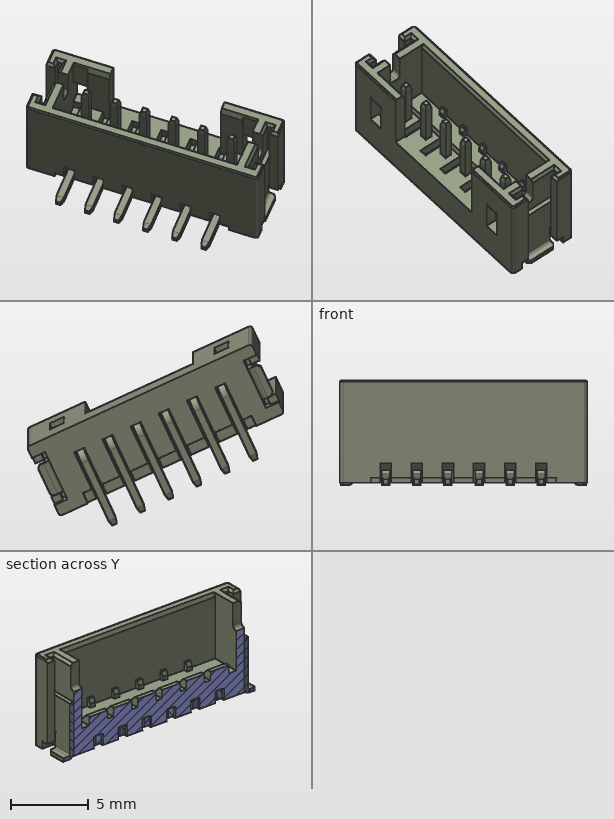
import cadquery as cq
import math


LENGTH = 15.95
DEPTH = 5.01
HEIGHT = 6.6
MID_Y = DEPTH / 2
CORNER_RADIUS = 0.2
TOP_EDGE_CHAMFER = 0.1
FRONT_WALL = 0.73
BACK_WALL = 0.78
CAVITY_LENGTH = 12.7
FLOOR_Z = 1.83
BACK_INNER_Y = DEPTH - BACK_WALL

LEAD_IN_STEEPNESS = 2.0
FRONT_LEAD_IN = 0.15
BACK_LEAD_IN = 0.19

PIN_COUNT = 6
PITCH = 2.0
PIN_WIDTH = 0.51
PIN_THICKNESS = 0.5
PIN_Y = 3.15
PIN_TOP_Z = 5.68
PIN_TIP_LENGTH = 0.4
PIN_TIP_INSET = 0.1
BEND_INNER_RADIUS = 0.4
LEAD_END_Y = -2.0
LEAD_SLOPE = 3.5
LEAD_CENTER_Z = 0.2

BLOCK_TOP_Z = 2.44
BLOCK_TOP_WIDTH = 1.48
BLOCK_TOP_FRONT_Y = 2.57
BLOCK_SIDE_DRAFT = 0.06
BLOCK_RISE = BLOCK_TOP_Z - FLOOR_Z
LEAD_SLOT_WIDTH = 0.72
LEAD_SLOT_MOUTH_Z = 1.28
LEAD_SLOT_ROOF_Z = 0.81

RIB_WIDTH = 0.41
RIB_DEPTH = 0.3
RIB_CHAMFER = 0.16

BACK_GAP_LENGTH = 7.65
WINDOW_START_X = 5.35
WINDOW_TOP_Z = 4.56
RELIEF_DEPTH = 0.11

CHANNEL_INNER_X = 7.05
CHANNEL_OUTER_X = 7.37
CHANNEL_WIDTH = 3.41
MOUTH_WIDTH = 2.4
CHANNEL_CHAMFER = 0.19
LIP_NOTCH_HEIGHT = 0.55

END_SLOT_WIDTH = 0.83
END_SLOT_Y = 2.97
END_SLOT_BOTTOM_Z = 4.7
END_SLOT_RADIUS = 0.32

UNDERCUT_LENGTH = 11.96
UNDERCUT_HEIGHT = 0.33

TAB_TOP_Z = 3.94
TAB_SHOULDER_Z = 1.26
TAB_WIDTH = 2.22
TAB_BOTTOM_Z = -0.15
TAB_BEND_INNER_RADIUS = 0.11
TAB_FOOT_X = 7.91
TAB_FOOT_THICKNESS = 0.29
TAB_CORNER_CHAMFER = 0.19


def block(x_range, y_range, z_range):
    """Box between three pairs of limits."""
    sizes = [high - low for low, high in (x_range, y_range, z_range)]
    corner = (x_range[0], y_range[0], z_range[0])
    return cq.Workplane("XY").box(*sizes, centered=False).translate(corner)


def side_prism(points, width, center_x=0.0):
    """Prism of a (y, z) outline, centred on center_x."""
    return (
        cq.Workplane("YZ").polyline(points).close()
        .extrude(width / 2, both=True).translate((center_x, 0, 0))
    )


def row_positions(count):
    """X positions of equally pitched features, centred on x = 0."""
    return [(i - (count - 1) / 2) * PITCH for i in range(count)]


def make_shell():
    """Rounded outer block with the open cavity and its lead-in slopes."""
    shell = (
        cq.Workplane("XY").box(LENGTH, DEPTH, HEIGHT, centered=(True, False, False))
        .edges("|Z").fillet(CORNER_RADIUS)
        .faces(">Z").edges().chamfer(TOP_EDGE_CHAMFER)
    )
    cavity = side_prism(
        [
            (FRONT_WALL, FLOOR_Z),
            (BACK_INNER_Y, FLOOR_Z),
            (BACK_INNER_Y, HEIGHT - LEAD_IN_STEEPNESS * BACK_LEAD_IN),
            (BACK_INNER_Y + BACK_LEAD_IN, HEIGHT),
            (FRONT_WALL - FRONT_LEAD_IN, HEIGHT),
            (FRONT_WALL, HEIGHT - LEAD_IN_STEEPNESS * FRONT_LEAD_IN),
        ],
        CAVITY_LENGTH,
    )
    return shell.cut(cavity)


def back_wall_gap():
    """Central gap in the back wall, level with the tops of the pin blocks."""
    gap_x = BACK_GAP_LENGTH / 2
    return block((-gap_x, gap_x), (BACK_INNER_Y, DEPTH), (BLOCK_TOP_Z, HEIGHT))


def back_wall_window():
    """Thinned stretch at the +X end of the back wall, with a window through its lower part."""
    end_x = (WINDOW_START_X, CAVITY_LENGTH / 2)
    relief = block(end_x, (BACK_INNER_Y, BACK_INNER_Y + RELIEF_DEPTH), (FLOOR_Z, HEIGHT))
    window = block(end_x, (BACK_INNER_Y, DEPTH), (BLOCK_TOP_Z, WINDOW_TOP_Z))
    return relief.union(window)


def front_undercut():
    """Shallow recess under the front wall."""
    half_length = UNDERCUT_LENGTH / 2
    return block((-half_length, half_length), (0, FRONT_WALL), (0, UNDERCUT_HEIGHT))


def tab_channel():
    """T-shaped channel on the +X end, chamfered at the top, with the lips notched below."""
    beyond_x = LENGTH / 2 + 2 * CHANNEL_CHAMFER

    def outline(z, widening):
        """Channel outline at height z, widened on every side."""
        half_channel = CHANNEL_WIDTH / 2 + widening
        half_mouth = MOUTH_WIDTH / 2 + widening
        inner_x = CHANNEL_INNER_X - widening
        outer_x = CHANNEL_OUTER_X + widening
        return cq.Workplane("XY").workplane(offset=z).polyline([
            (inner_x, MID_Y - half_channel),
            (outer_x, MID_Y - half_channel),
            (outer_x, MID_Y - half_mouth),
            (beyond_x, MID_Y - half_mouth),
            (beyond_x, MID_Y + half_mouth),
            (outer_x, MID_Y + half_mouth),
            (outer_x, MID_Y + half_channel),
            (inner_x, MID_Y + half_channel),
        ]).close()

    channel = outline(0, 0).extrude(HEIGHT)
    flare_start = outline(HEIGHT - CHANNEL_CHAMFER, 0).val()
    flare_end = outline(HEIGHT, CHANNEL_CHAMFER).val()
    flare = cq.Workplane(cq.Solid.makeLoft([flare_start, flare_end], True))
    notch = block(
        (CHANNEL_OUTER_X, beyond_x),
        (MID_Y - CHANNEL_WIDTH / 2, MID_Y + CHANNEL_WIDTH / 2),
        (0, LIP_NOTCH_HEIGHT),
    )
    return channel.union(flare).union(notch)


def end_slot():
    """Round-bottomed slot through the +X end wall, from the cavity to the tab channel."""
    return block(
        (CAVITY_LENGTH / 2, CHANNEL_INNER_X),
        (END_SLOT_Y - END_SLOT_WIDTH / 2, END_SLOT_Y + END_SLOT_WIDTH / 2),
        (END_SLOT_BOTTOM_Z, HEIGHT),
    ).edges("|X and <Z").fillet(END_SLOT_RADIUS)


def make_pin_block(center_x):
    """Raised seat for one contact, with drafted sides and a 45 degree front."""
    front = side_prism(
        [
            (BLOCK_TOP_FRONT_Y - BLOCK_RISE, FLOOR_Z),
            (BACK_INNER_Y + RELIEF_DEPTH, FLOOR_Z),
            (BACK_INNER_Y + RELIEF_DEPTH, BLOCK_TOP_Z),
            (BLOCK_TOP_FRONT_Y, BLOCK_TOP_Z),
        ],
        2 * BLOCK_TOP_WIDTH,
        center_x,
    )
    half_top = BLOCK_TOP_WIDTH / 2
    half_base = half_top + BLOCK_SIDE_DRAFT
    drafted_sides = (
        cq.Workplane("XZ")
        .polyline([
            (-half_base, FLOOR_Z), (half_base, FLOOR_Z),
            (half_top, BLOCK_TOP_Z), (-half_top, BLOCK_TOP_Z),
        ])
        .close().extrude(-DEPTH).translate((center_x, 0, 0))
    )
    return front.intersect(drafted_sides)


def make_rib(center_x):
    """Small rib on the inner face of the front wall, sloped at its top."""
    tip_y = FRONT_WALL + RIB_DEPTH
    return side_prism(
        [
            (FRONT_WALL, FLOOR_Z),
            (tip_y, FLOOR_Z),
            (tip_y, BLOCK_TOP_Z - LEAD_IN_STEEPNESS * RIB_CHAMFER),
            (tip_y - RIB_CHAMFER, BLOCK_TOP_Z),
            (FRONT_WALL, BLOCK_TOP_Z),
        ],
        RIB_WIDTH,
        center_x,
    )


def lead_slot(center_x):
    """Slot under the floor for one contact lead, with a 45 degree roof at its mouth."""
    slot_end_y = PIN_Y + PIN_THICKNESS / 2
    return side_prism(
        [
            (0, 0),
            (slot_end_y, 0),
            (slot_end_y, LEAD_SLOT_ROOF_Z),
            (LEAD_SLOT_MOUTH_Z - LEAD_SLOT_ROOF_Z, LEAD_SLOT_ROOF_Z),
            (0, LEAD_SLOT_MOUTH_Z),
        ],
        LEAD_SLOT_WIDTH,
        center_x,
    )


def make_tip(plane):
    """Tapered end of a contact, starting at the plane and growing along its normal."""
    return (
        cq.Workplane(plane).rect(PIN_WIDTH, PIN_THICKNESS)
        .workplane(offset=PIN_TIP_LENGTH)
        .rect(PIN_WIDTH - 2 * PIN_TIP_INSET, PIN_THICKNESS - 2 * PIN_TIP_INSET)
        .loft(ruled=True)
    )


def make_pin(center_x):
    """Square contact: upright post, bend, and a lead that slopes gently down to the front."""
    angle = math.radians(LEAD_SLOPE)
    along_y, along_z = -math.cos(angle), -math.sin(angle)
    half = PIN_THICKNESS / 2
    post_front_y = PIN_Y - half
    post_back_y = PIN_Y + half
    post_end_z = PIN_TOP_Z - PIN_TIP_LENGTH
    lead_end_y = LEAD_END_Y - PIN_TIP_LENGTH * along_y + (half - PIN_TIP_INSET) * math.sin(angle)

    def lead_z(y):
        """Height of the lead axis at y."""
        return LEAD_CENTER_Z + y * math.tan(angle)

    half_vertical = half / math.cos(angle)
    lead_end_z = lead_z(lead_end_y)
    body = side_prism(
        [
            (post_front_y, post_end_z),
            (post_front_y, lead_z(post_front_y) + half_vertical),
            (lead_end_y + half * along_z, lead_end_z - half * along_y),
            (lead_end_y - half * along_z, lead_end_z + half * along_y),
            (post_back_y, lead_z(post_back_y) - half_vertical),
            (post_back_y, post_end_z),
        ],
        PIN_WIDTH,
    )
    bend_z = lead_z(PIN_Y)
    inner_corner = cq.selectors.NearestToPointSelector((0, post_front_y, bend_z + half))
    outer_corner = cq.selectors.NearestToPointSelector((0, post_back_y, bend_z - half))
    body = body.edges("|X").edges(inner_corner).fillet(BEND_INNER_RADIUS)
    body = body.edges("|X").edges(outer_corner).fillet(BEND_INNER_RADIUS + PIN_THICKNESS)
    post_tip = make_tip(cq.Plane((0, PIN_Y, post_end_z), (1, 0, 0), (0, 0, 1)))
    lead_tip = make_tip(cq.Plane((0, lead_end_y, lead_end_z), (1, 0, 0), (0, along_y, along_z)))
    return body.union(post_tip).union(lead_tip).translate((center_x, 0, 0))


def make_tab():
    """Solder tab on the +X end: a shouldered plate bent outward into a foot."""
    foot_top_z = TAB_BOTTOM_Z + TAB_FOOT_THICKNESS
    half_width = TAB_WIDTH / 2
    bent_strip = (
        cq.Workplane("XZ")
        .polyline([
            (CHANNEL_INNER_X, TAB_TOP_Z),
            (CHANNEL_INNER_X, TAB_BOTTOM_Z),
            (TAB_FOOT_X, TAB_BOTTOM_Z),
            (TAB_FOOT_X, foot_top_z),
            (CHANNEL_OUTER_X, foot_top_z),
            (CHANNEL_OUTER_X, TAB_TOP_Z),
        ])
        .close().extrude(half_width, both=True).translate((0, MID_Y, 0))
    )
    inner_corner = cq.selectors.NearestToPointSelector((CHANNEL_OUTER_X, MID_Y, foot_top_z))
    bent_strip = bent_strip.edges("|Y").edges(inner_corner).fillet(TAB_BEND_INNER_RADIUS)
    bent_strip = bent_strip.edges("|Y and <X and <Z").fillet(TAB_BEND_INNER_RADIUS + TAB_FOOT_THICKNESS)
    bent_strip = bent_strip.edges("|Z and >X").chamfer(TAB_CORNER_CHAMFER)
    shoulders = block(
        (CHANNEL_INNER_X, CHANNEL_OUTER_X),
        (MID_Y - CHANNEL_WIDTH / 2, MID_Y + CHANNEL_WIDTH / 2),
        (TAB_SHOULDER_Z, TAB_TOP_Z),
    )
    return bent_strip.union(shoulders)


def make_housing(pins):
    """Housing with every opening and seat, fitted around the contacts."""
    housing = make_shell().cut(back_wall_gap()).cut(front_undercut())
    for end_feature in (back_wall_window(), tab_channel(), end_slot()):
        housing = housing.cut(end_feature).cut(end_feature.mirror("YZ"))
    for center_x in row_positions(PIN_COUNT):
        housing = housing.union(make_pin_block(center_x))
        housing = housing.cut(lead_slot(center_x))
    for center_x in row_positions(PIN_COUNT - 1):
        housing = housing.union(make_rib(center_x))
    for pin in pins:
        housing = housing.cut(pin)
    return housing


pins = [make_pin(center_x) for center_x in row_positions(PIN_COUNT)]
right_tab = make_tab()
tabs = [right_tab, right_tab.mirror("YZ")]
housing = make_housing(pins)

result = cq.Compound.makeCompound([
    housing.val(),
    *[pin.val() for pin in pins],
    *[tab.val() for tab in tabs],
])